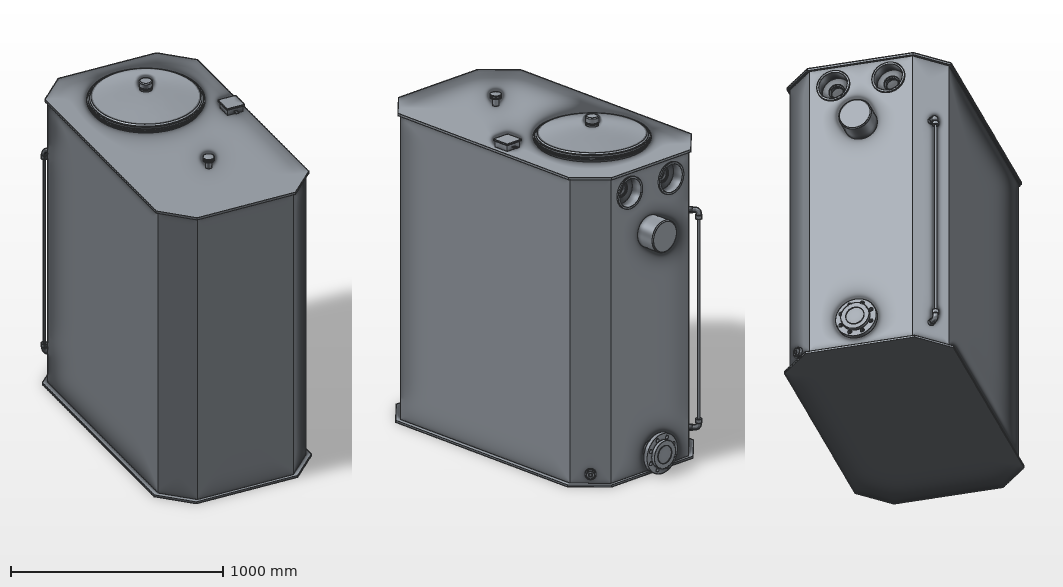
import cadquery as cq
import math

body_length = 1420.0
body_width = 781.0
corner_cut = 137.0
base_length = 1455.0
base_width = 830.0
base_corner_cut = 147.0
base_thickness = 10.0
top_length = 1441.0
top_width = 807.0
top_corner_cut = 144.0
top_thickness = 12.0
tank_top = 1561.0
wall_x = -body_length / 2
corner_x = -(body_length - corner_cut) / 2
corner_y = (body_width - corner_cut) / 2

socket_diameter = 160.0
socket_bore = 140.0
socket_protrusion = 8.0
socket_depth = 60.0
socket_spacing = 270.0
socket_height = 1450.0
socket_step_diameter = 76.0
socket_step_depth = 7.0
socket_core_diameter = 61.0
socket_core_depth = 17.0

connection_length = 103.0
stub_diameter = 160.0
stub_chamfer = 5.0
stub_height = 1218.0
nozzle_height = 115.0
nozzle_pipe_diameter = 90.0
flange_diameter = 200.0
flange_thickness = 22.0
raised_face_diameter = 139.0
raised_face_thickness = 19.0
nozzle_recess = 3.0
bolt_circle = 160.0
bolt_hole_diameter = 19.0
bolt_count = 8

lid_x = -321.0
lid_diameter = 531.0
lid_ring_height = 44.0
lid_edge_chamfer = 7.0
band_diameter = 546.0
band_bottom = 12.0
band_thickness = 24.0
rim_diameter = 558.0
rim_bottom = 20.0
rim_thickness = 7.0
dome_diameter = 507.0
dome_rise = 40.0
knob_top = 1691.0
knob_diameter = 65.0
knob_cap_height = 30.0
knob_chamfer = 5.0
knob_neck_diameter = 52.0
knob_foot_diameter = 61.0
knob_foot_height = 8.0

vent_x = 330.0
vent_pipe_diameter = 30.0
vent_pipe_height = 39.0
vent_disc_diameter = 54.0
vent_disc_thickness = 3.0
vent_waist_diameter = 47.0
vent_waist_height = 8.0
vent_cap_edge = 7.0
vent_cap_height = 15.0

box_x = -95.0
box_y = 337.0
box_side = 81.0
box_height = 32.0
box_cover_side = 93.0
box_cover_thickness = 8.0
tab_span = 129.0
tab_width = 15.0
tab_thickness = 3.0
tab_bottom = 12.0

gauge_top = 1218.0
gauge_bottom = 117.0
gauge_offset = 47.0
sight_tube_diameter = 12.0
elbow_diameter = 25.0
elbow_bend = 19.0
elbow_collar_diameter = 30.0
wall_collar_length = 17.0
tube_collar_start = 25.0
tube_collar_length = 19.0

drain_height = 60.0
drain_diameter = 52.0
drain_length = 14.0
drain_tip_diameter = 39.0
drain_tip_length = 10.0
drain_bore = 19.0
drain_bore_depth = 10.0


def tank_slab(length, width, cut, bottom, top):
    """Eight-sided slab: a rectangle with all four corners cut at 45 degrees."""
    return (
        cq.Workplane("XY")
        .workplane(offset=bottom)
        .rect(length, width)
        .extrude(top - bottom)
        .edges("|Z")
        .chamfer(cut)
    )


def cylinder(start, direction, diameter, length):
    """Solid cylinder that begins at `start` and runs along `direction`."""
    return cq.Workplane(
        cq.Solid.makeCylinder(diameter / 2, length, cq.Vector(*start), cq.Vector(*direction))
    )


def disc(x, bottom, diameter, height):
    """Upright cylinder on the tank's centre line."""
    return cylinder((x, 0, bottom), (0, 0, 1), diameter, height)


def make_tank():
    tank = (
        tank_slab(body_length, body_width, corner_cut, 0, tank_top)
        .union(tank_slab(base_length, base_width, base_corner_cut, 0, base_thickness))
        .union(tank_slab(top_length, top_width, top_corner_cut, tank_top - top_thickness, tank_top))
    )
    inward = (1, 0, 0)
    mouth_x = wall_x - socket_protrusion
    step_x = mouth_x + socket_depth
    core_x = step_x + socket_step_depth
    for side in (-1, 1):
        y = side * socket_spacing / 2
        collar = cylinder((mouth_x, y, socket_height), inward, socket_diameter, socket_protrusion)
        bore = cylinder((mouth_x, y, socket_height), inward, socket_bore, socket_depth)
        step = cylinder((step_x, y, socket_height), inward, socket_step_diameter, socket_step_depth)
        core = cylinder((core_x, y, socket_height), inward, socket_core_diameter, socket_core_depth)
        tank = tank.union(collar).cut(bore).cut(step).cut(core)
    return tank


def make_stub():
    stub = cylinder((wall_x, 0, stub_height), (-1, 0, 0), stub_diameter, connection_length)
    return stub.faces("<X").chamfer(stub_chamfer)


def make_nozzle():
    outward = (-1, 0, 0)
    end_x = wall_x - connection_length
    flange_x = end_x + raised_face_thickness + flange_thickness
    nozzle = (
        cylinder((wall_x, 0, nozzle_height), outward, nozzle_pipe_diameter, connection_length)
        .union(cylinder((flange_x, 0, nozzle_height), outward, flange_diameter, flange_thickness))
        .union(
            cylinder(
                (end_x + raised_face_thickness, 0, nozzle_height),
                outward,
                raised_face_diameter,
                raised_face_thickness,
            )
        )
        .cut(cylinder((end_x, 0, nozzle_height), (1, 0, 0), nozzle_pipe_diameter, nozzle_recess))
    )
    for index in range(bolt_count):
        angle = 2 * math.pi * (index + 0.5) / bolt_count
        y = bolt_circle / 2 * math.cos(angle)
        z = nozzle_height + bolt_circle / 2 * math.sin(angle)
        nozzle = nozzle.cut(cylinder((flange_x, y, z), outward, bolt_hole_diameter, flange_thickness))
    return nozzle


def make_lid():
    """Stepped ring and dome, with a flat seat for the knob at the crown."""
    ring = disc(lid_x, tank_top, lid_diameter, lid_ring_height).faces(">Z").chamfer(lid_edge_chamfer)
    rim = disc(lid_x, tank_top + rim_bottom, rim_diameter, rim_thickness)
    band = disc(lid_x, tank_top + band_bottom, band_diameter, band_thickness)
    seat_radius = knob_foot_diameter / 2
    dome_radius = dome_diameter / 2
    sphere_radius = (dome_radius**2 - seat_radius**2 + dome_rise**2) / (2 * dome_rise)
    middle_radius = (seat_radius + dome_radius) / 2
    sphere_drop = math.sqrt(sphere_radius**2 - seat_radius**2) - dome_rise
    dome = (
        cq.Workplane("XZ")
        .moveTo(0, 0)
        .lineTo(dome_radius, 0)
        .threePointArc(
            (middle_radius, math.sqrt(sphere_radius**2 - middle_radius**2) - sphere_drop),
            (seat_radius, dome_rise),
        )
        .lineTo(0, dome_rise)
        .close()
        .revolve(360, (0, 0), (0, 1))
        .translate((lid_x, 0, tank_top + lid_ring_height))
    )
    return ring.union(band).union(rim).union(dome)


def make_knob():
    seat_z = tank_top + lid_ring_height + dome_rise
    cap_z = knob_top - knob_cap_height
    cap = disc(lid_x, cap_z, knob_diameter, knob_cap_height).faces(">Z").chamfer(knob_chamfer)
    neck = disc(lid_x, seat_z, knob_neck_diameter, cap_z - seat_z)
    foot = disc(lid_x, seat_z, knob_foot_diameter, knob_foot_height)
    return cap.union(neck).union(foot)


def make_vent():
    disc_z = tank_top + vent_pipe_height
    waist_z = disc_z + vent_disc_thickness
    cap_z = waist_z + vent_waist_height
    cap_radius = vent_disc_diameter / 2
    crown_rise = vent_cap_height - vent_cap_edge
    crown_sphere_radius = (cap_radius**2 + crown_rise**2) / (2 * crown_rise)
    cap = (
        cq.Workplane("XZ")
        .lineTo(cap_radius, 0)
        .lineTo(cap_radius, vent_cap_edge)
        .radiusArc((0, vent_cap_height), -crown_sphere_radius)
        .close()
        .revolve(360, (0, 0), (0, 1))
        .translate((vent_x, 0, cap_z))
    )
    return (
        disc(vent_x, tank_top, vent_pipe_diameter, vent_pipe_height)
        .union(disc(vent_x, disc_z, vent_disc_diameter, vent_disc_thickness))
        .union(disc(vent_x, waist_z, vent_waist_diameter, vent_waist_height))
        .union(cap)
    )


def make_junction_box():
    upright = (True, True, False)
    housing = cq.Workplane("XY").box(box_side, box_side, box_height, centered=upright)
    cover = (
        cq.Workplane("XY")
        .workplane(offset=box_height)
        .box(box_cover_side, box_cover_side, box_cover_thickness, centered=upright)
    )
    tabs = (
        cq.Workplane("XY")
        .workplane(offset=tab_bottom)
        .box(tab_span, tab_width, tab_thickness, centered=upright)
    )
    return housing.union(cover).union(tabs).translate((box_x, box_y, tank_top))


def make_elbow(toward_tube):
    """Elbow from the origin along +X, then along Z; `toward_tube` is +1 for up, -1 for down."""
    path = (
        cq.Workplane("XZ")
        .lineTo(gauge_offset - elbow_bend, 0)
        .radiusArc((gauge_offset, toward_tube * elbow_bend), -toward_tube * elbow_bend)
        .lineTo(gauge_offset, toward_tube * tube_collar_start)
    )
    pipe = cq.Workplane("YZ").circle(elbow_diameter / 2).sweep(path)
    wall_collar = cylinder((0, 0, 0), (1, 0, 0), elbow_collar_diameter, wall_collar_length)
    tube_collar = cylinder(
        (gauge_offset, 0, toward_tube * tube_collar_start),
        (0, 0, toward_tube),
        elbow_collar_diameter,
        tube_collar_length,
    )
    return pipe.union(wall_collar).union(tube_collar)


def make_gauge():
    """Gauge built with its wall face on X = 0, then turned onto the corner face."""
    collar_end = tube_collar_start + tube_collar_length
    tube = cylinder(
        (gauge_offset, 0, gauge_bottom + collar_end),
        (0, 0, 1),
        sight_tube_diameter,
        gauge_top - gauge_bottom - 2 * collar_end,
    )
    return (
        tube.union(make_elbow(1).translate((0, 0, gauge_bottom)))
        .union(make_elbow(-1).translate((0, 0, gauge_top)))
        .rotate((0, 0, 0), (0, 0, 1), -135)
        .translate((corner_x, -corner_y, 0))
    )


def make_drain():
    """Stepped fitting built with its wall face on X = 0, then turned onto the corner face."""
    outward = (1, 0, 0)
    end_x = drain_length + drain_tip_length
    return (
        cylinder((0, 0, 0), outward, drain_diameter, drain_length)
        .union(cylinder((drain_length, 0, 0), outward, drain_tip_diameter, drain_tip_length))
        .cut(cylinder((end_x, 0, 0), (-1, 0, 0), drain_bore, drain_bore_depth))
        .rotate((0, 0, 0), (0, 0, 1), 135)
        .translate((corner_x, corner_y, drain_height))
    )


tank = make_tank()
stub = make_stub()
nozzle = make_nozzle()
lid = make_lid()
knob = make_knob()
vent = make_vent()
junction_box = make_junction_box()
gauge = make_gauge()
drain = make_drain()

result = cq.Compound.makeCompound(
    [
        tank.val(),
        stub.val(),
        nozzle.val(),
        lid.val(),
        knob.val(),
        vent.val(),
        junction_box.val(),
        gauge.val(),
        drain.val(),
    ]
)